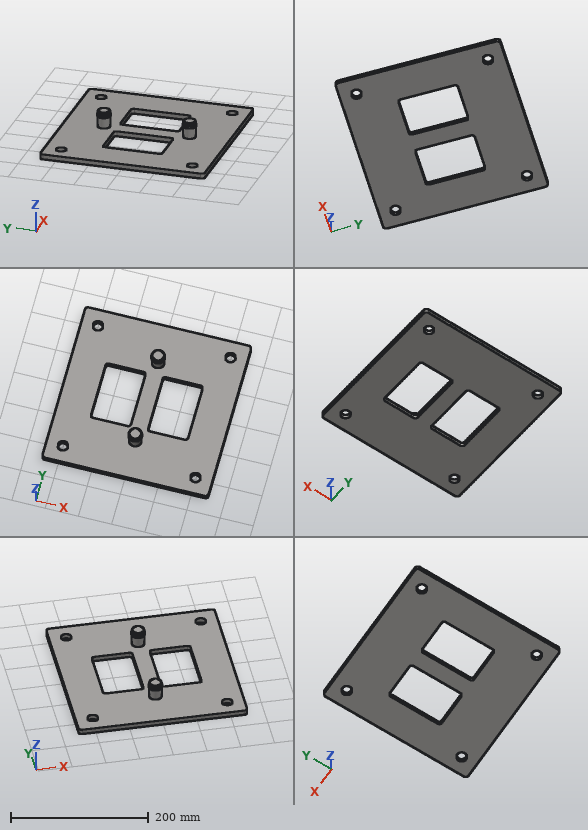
import cadquery as cq

PLATE_SIDE = 250.0
PLATE_THICKNESS = 8.0
PLATE_CORNER_RADIUS = 5.0
MOUNT_HOLE_DIAMETER = 15.0
MOUNT_HOLE_SPACING = 199.5

WINDOW_WIDTH = 60.0
WINDOW_HEIGHT = 90.0
WINDOW_GAP = 26.0
WINDOW_CORNER_RADIUS = 4.0
WINDOW_SPACING = WINDOW_WIDTH + WINDOW_GAP

PIN_RADIUS = 9.2
PIN_HEIGHT = 25.0
PIN_SPACING = 130.0
PIN_CHAMFER_HEIGHT = 2.0
PIN_CHAMFER_INSET = 0.8

RING_SECTION_RADIUS = 1.8
RING_OUTER_RADIUS = 10.2
RING_CENTER_RADIUS = RING_OUTER_RADIUS - RING_SECTION_RADIUS
RING_DEPTH_BELOW_TOP = 6.5
RING_Z = PIN_HEIGHT - RING_DEPTH_BELOW_TOP
GROOVE_WIDTH = 4.5
GROOVE_FLOOR_RADIUS = RING_CENTER_RADIUS - RING_SECTION_RADIUS


def make_plate():
    """Rounded square plate with its underside at Z = 0."""
    plate = (
        cq.Workplane("XY")
        .rect(PLATE_SIDE, PLATE_SIDE)
        .extrude(PLATE_THICKNESS)
        .edges("|Z")
        .fillet(PLATE_CORNER_RADIUS)
    )
    mount_holes = (
        cq.Workplane("XY")
        .rect(MOUNT_HOLE_SPACING, MOUNT_HOLE_SPACING, forConstruction=True)
        .vertices()
        .circle(MOUNT_HOLE_DIAMETER / 2)
        .extrude(PLATE_THICKNESS)
    )
    windows = (
        cq.Workplane("XY")
        .pushPoints([(-WINDOW_SPACING / 2, 0), (WINDOW_SPACING / 2, 0)])
        .rect(WINDOW_WIDTH, WINDOW_HEIGHT)
        .extrude(PLATE_THICKNESS)
        .edges("|Z")
        .fillet(WINDOW_CORNER_RADIUS)
    )
    return plate.cut(mount_holes).cut(windows)


def make_pin():
    """Pin with a tapered top rim and a ring groove, revolved about Z."""
    groove_bottom = RING_Z - GROOVE_WIDTH / 2
    groove_top = RING_Z + GROOVE_WIDTH / 2
    profile = [
        (0, 0),
        (PIN_RADIUS, 0),
        (PIN_RADIUS, groove_bottom),
        (GROOVE_FLOOR_RADIUS, groove_bottom),
        (GROOVE_FLOOR_RADIUS, groove_top),
        (PIN_RADIUS, groove_top),
        (PIN_RADIUS, PIN_HEIGHT - PIN_CHAMFER_HEIGHT),
        (PIN_RADIUS - PIN_CHAMFER_INSET, PIN_HEIGHT),
        (0, PIN_HEIGHT),
    ]
    return cq.Workplane("XZ").polyline(profile).close().revolve(360, (0, 0), (0, 1))


def make_ring():
    """Round-section ring, resting on the groove floor."""
    return (
        cq.Workplane("XZ")
        .center(RING_CENTER_RADIUS, RING_Z)
        .circle(RING_SECTION_RADIUS)
        .revolve(360, (-RING_CENTER_RADIUS, 0), (-RING_CENTER_RADIUS, 1))
    )


plate = make_plate()
pins = []
rings = []
for pin_y in (-PIN_SPACING / 2, PIN_SPACING / 2):
    pin_base = (0, pin_y, PLATE_THICKNESS)
    pins.append(make_pin().translate(pin_base).val())
    rings.append(make_ring().translate(pin_base).val())

result = cq.Compound.makeCompound([plate.val(), *pins, *rings])